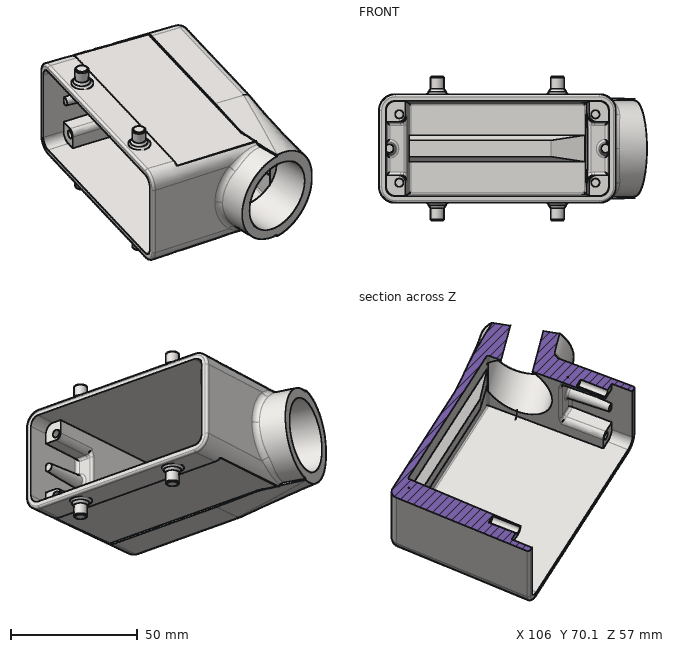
import cadquery as cq
import math

MOUTH_LENGTH = 93.7
MOUTH_WIDTH = 43.1
SHELL_HEIGHT = 62.8
DRAFT = 1.0
CORNER_RADIUS = 6.5
ROOF_FILLET = 3.6
RIM_FILLET = 1.0
WALL = 2.7
DRAFT_SLOPE = math.tan(math.radians(DRAFT))
MIDDLE_X = MOUTH_LENGTH / 2

OVERALL_LENGTH = 106.04
OVERALL_HEIGHT = 70.13
SPOUT_TILT = 15.0
SPOUT_RADIUS = 19.0
SPOUT_LENGTH = 25.0
SPOUT_BORE_RADIUS = 15.0
SPOUT_ROOT_FILLET = 2.5
ROOT_SHELL_HEIGHT = SHELL_HEIGHT + 25.0
TILT = math.radians(SPOUT_TILT)
SPOUT_END_X = OVERALL_LENGTH - SPOUT_RADIUS * math.sin(TILT)
SPOUT_END_Y = OVERALL_HEIGHT - SPOUT_RADIUS * math.cos(TILT)

SHOULDER_START_X = 59.5
SHOULDER_MID_FILLET = 9.8
SHOULDER_END_HALF_WIDTH = 19.6
SHOULDER_END_FILLET = 18.9

PANEL_BOTTOM_Y = 12.85
PANEL_TOP_Y = 46.4
PANEL_MARGIN = 3.45
PANEL_DEPTH = 0.85

CAVITY_DEPTH = 59.5
CAVITY_CORNER_RADIUS = 3.8
CAVITY_FLOOR_FILLET = 0.6
POST_TOP_Y = 9.0
SHELF_Y = 27.5
SHELF_FILLET = 1.2
POST_INNER_X = 10.2
FLOOR_INNER_X = 12.0
POST_GAP = 21.6
POST_EDGE_RADIUS = 2.5
POST_HOLE_RADIUS = 1.65
POST_HOLE_DEPTH = 12.0
POST_HOLE_X = 8.1
POST_HOLE_Z = 13.5

FINDER = 0.5

RIB_X = 4.1
RIB_TIP_RADIUS = 1.7
RIB_ROOT_RADIUS = 2.7
RIB_ROOT_FILLET = 1.0

RIDGE_BASE_WIDTH = 10.6
RIDGE_CREST_WIDTH = 6.4
RIDGE_RAMP_LENGTH = 13.8

PIN_SPAN = 57.0
PIN_RADIUS = 2.7
PIN_Y = 6.25
PIN_X = (23.1, 70.6)
PIN_CHAMFER = 0.5
PIN_FLANGE_RADIUS = 3.5
PIN_FLANGE_Z = 22.4
PIN_NECK_Z = 23.6
PIN_FOOT_FILLET = 1.1


def end_x(offset, side):
    """X at a distance from the mouth's left (side -1) or right (side +1) end."""
    return MIDDLE_X + side * (MIDDLE_X - offset)


def plane_at(y):
    """Plane parallel to the mouth at height y; its local X is X and its normal is +Y."""
    return cq.Plane(origin=(MIDDLE_X, y, 0), xDir=(1, 0, 0), normal=(0, 1, 0))


def tapered_block(length, width, height, corner_radius=0.0):
    """Drafted block growing from the mouth plane."""
    sketch = cq.Sketch().rect(length, width)
    if corner_radius:
        sketch = sketch.vertices().fillet(corner_radius)
    return cq.Workplane(plane_at(0)).placeSketch(sketch).extrude(height, taper=DRAFT)


def half_width(y):
    return MOUTH_WIDTH / 2 - y * DRAFT_SLOPE


def axis_x(y):
    """X where the spout axis reaches height y."""
    return SPOUT_END_X - (SPOUT_END_Y - y) / math.tan(TILT)


def above_spout_axis(start_x):
    """Everything beyond start_x that lies above the panel top and above the spout axis."""
    ceiling = 2 * OVERALL_HEIGHT
    outline = [
        (start_x, PANEL_TOP_Y),
        (axis_x(PANEL_TOP_Y), PANEL_TOP_Y),
        (SPOUT_END_X, SPOUT_END_Y),
        (OVERALL_LENGTH, ceiling),
        (start_x, ceiling),
    ]
    return cq.Workplane("XY").polyline(outline).close().extrude(MOUTH_WIDTH, both=True)


def make_shell(height):
    shell = tapered_block(MOUTH_LENGTH, MOUTH_WIDTH, height, CORNER_RADIUS)
    return shell.faces("<Y").edges().fillet(RIM_FILLET)


def make_roofed_shell():
    """Shell with its rounded roof, open where the shoulder goes."""
    shell = make_shell(SHELL_HEIGHT).faces(">Y").edges().fillet(ROOF_FILLET)
    return shell.cut(above_spout_axis(SHOULDER_START_X))


def make_spout_half():
    """Lower half of the spout with the shell below it, their junction rounded."""
    joined = make_shell(ROOT_SHELL_HEIGHT).union(spout_cylinder(SPOUT_RADIUS, SPOUT_LENGTH))
    root_edges = cq.selectors.BoxSelector(
        (MOUTH_LENGTH - CORNER_RADIUS - WALL, PANEL_BOTTOM_Y, -SPOUT_RADIUS - FINDER),
        (MOUTH_LENGTH, OVERALL_HEIGHT, SPOUT_RADIUS + FINDER),
        boundingbox=True,
    )
    return joined.edges(root_edges).fillet(SPOUT_ROOT_FILLET).cut(above_spout_axis(0))


def shoulder_section(x, y, tilt, top_half_width, fillet):
    """Round-topped cross-section hanging from the roof point (x, y), tilted by an angle."""
    plane = cq.Plane(
        origin=(x, y, 0),
        xDir=(0, 0, -1),
        normal=(math.cos(tilt), math.sin(tilt), 0),
    )
    flat = top_half_width - fillet
    diagonal = fillet * math.sqrt(0.5)
    bottom_half_width = top_half_width + (SPOUT_RADIUS - fillet) * DRAFT_SLOPE
    return (
        cq.Workplane(plane)
        .moveTo(-bottom_half_width, -SPOUT_RADIUS)
        .lineTo(-top_half_width, -fillet)
        .threePointArc((-flat - diagonal, diagonal - fillet), (-flat, 0))
        .lineTo(flat, 0)
        .threePointArc((flat + diagonal, diagonal - fillet), (top_half_width, -fillet))
        .lineTo(bottom_half_width, -SPOUT_RADIUS)
        .close()
        .wires()
        .val()
    )


def make_shoulder():
    end_top_x = SPOUT_END_X - SPOUT_RADIUS * math.sin(TILT)
    end_top_y = SPOUT_END_Y + SPOUT_RADIUS * math.cos(TILT)
    tangent_length = end_top_x - SHOULDER_START_X - (end_top_y - SHELL_HEIGHT) / math.tan(TILT)
    bend_radius = tangent_length / math.tan(TILT / 2)
    bend_x = SHOULDER_START_X + bend_radius * math.sin(TILT)
    bend_y = SHELL_HEIGHT + bend_radius * (1 - math.cos(TILT))
    start_width = half_width(SHELL_HEIGHT - ROOF_FILLET)
    middle_width = (start_width + SHOULDER_END_HALF_WIDTH) / 2
    sections = [
        shoulder_section(SHOULDER_START_X, SHELL_HEIGHT, 0, start_width, ROOF_FILLET),
        shoulder_section(bend_x, bend_y, TILT, middle_width, SHOULDER_MID_FILLET),
        shoulder_section(end_top_x, end_top_y, TILT, SHOULDER_END_HALF_WIDTH, SHOULDER_END_FILLET),
    ]
    return cq.Workplane(cq.Solid.makeLoft(sections))


def spout_cylinder(radius, length):
    """Cylinder on the spout axis, running inward from the spout's end face."""
    inward = cq.Vector(-math.cos(TILT), -math.sin(TILT), 0)
    return cq.Workplane(cq.Solid.makeCylinder(radius, length, cq.Vector(SPOUT_END_X, SPOUT_END_Y, 0), inward))


def panel_cutter(side):
    """Everything outside the drafted label panel on one long side."""
    rise = PANEL_TOP_Y * DRAFT_SLOPE
    low = PANEL_MARGIN + PANEL_BOTTOM_Y * DRAFT_SLOPE
    high = PANEL_MARGIN + rise
    slope_end_x = end_x(high, 1)
    slope_end_y = PANEL_TOP_Y + (slope_end_x - axis_x(PANEL_TOP_Y)) * math.tan(TILT)
    outline = [
        (low, PANEL_BOTTOM_Y),
        (end_x(low, 1), PANEL_BOTTOM_Y),
        (slope_end_x, slope_end_y),
        (axis_x(PANEL_TOP_Y), PANEL_TOP_Y),
        (high, PANEL_TOP_Y),
    ]
    blank = cq.Workplane("XY").polyline(outline).close().extrude(side * MOUTH_WIDTH)
    core = tapered_block(2 * MOUTH_LENGTH, MOUTH_WIDTH - 2 * PANEL_DEPTH, SHELL_HEIGHT)
    return blank.cut(core)


def post_edge_boxes():
    """Selector for the inner vertical edge of each of the four corner posts."""
    middle_y = SHELF_Y / 2
    inset = POST_INNER_X + middle_y * (FLOOR_INNER_X - POST_INNER_X) / CAVITY_DEPTH
    reach = POST_GAP / 2 - middle_y * DRAFT_SLOPE
    boxes = None
    for side in (-1, 1):
        for z in (-reach, reach):
            x = end_x(inset, side)
            box = cq.selectors.BoxSelector(
                (x - FINDER, middle_y - FINDER, z - FINDER),
                (x + FINDER, middle_y + FINDER, z + FINDER),
            )
            boxes = boxes + box if boxes else box
    return boxes


def make_cavity():
    length = MOUTH_LENGTH - 2 * WALL
    width = MOUTH_WIDTH - 2 * WALL
    mouth = tapered_block(length, width, POST_TOP_Y, CAVITY_CORNER_RADIUS)
    deep = (
        cq.Workplane(plane_at(0))
        .rect(MOUTH_LENGTH - 2 * POST_INNER_X, width)
        .workplane(offset=CAVITY_DEPTH)
        .rect(MOUTH_LENGTH - 2 * FLOOR_INNER_X, width - 2 * CAVITY_DEPTH * DRAFT_SLOPE)
        .loft(ruled=True)
    )
    deep = deep.faces(">Y").edges().fillet(CAVITY_FLOOR_FILLET)
    cavity = deep.union(tapered_block(length, POST_GAP, SHELF_Y))
    cavity = cavity.edges(post_edge_boxes()).fillet(POST_EDGE_RADIUS)
    shelf_edges = cq.selectors.BoxSelector(
        (0, SHELF_Y - FINDER, -POST_GAP),
        (MOUTH_LENGTH, SHELF_Y + FINDER, POST_GAP),
        boundingbox=True,
    )
    cavity = cavity.edges(shelf_edges).fillet(SHELF_FILLET)
    return cavity.union(mouth)


def make_bore():
    """Cable passage from the spout's end face to the end wall of the cavity."""
    bore = spout_cylinder(SPOUT_BORE_RADIUS, SPOUT_LENGTH)
    wall_x = end_x(FLOOR_INNER_X, 1)
    beyond_wall = (
        cq.Workplane("YZ", origin=(wall_x, 0, 0))
        .rect(2 * OVERALL_HEIGHT, MOUTH_WIDTH)
        .extrude(OVERALL_LENGTH - wall_x)
    )
    return bore.intersect(beyond_wall)


def make_ribs():
    """Tapered half-round ribs standing on the shelves against the end walls."""
    height = SHELF_Y - POST_TOP_Y
    foot = RIB_ROOT_RADIUS + RIB_ROOT_FILLET
    sag = RIB_ROOT_FILLET * (1 - math.sqrt(0.5))
    rib = (
        cq.Workplane("XY")
        .lineTo(RIB_TIP_RADIUS, 0)
        .lineTo(RIB_ROOT_RADIUS, height - RIB_ROOT_FILLET)
        .threePointArc((RIB_ROOT_RADIUS + sag, height - sag), (foot, height))
        .lineTo(0, height)
        .close()
        .revolve(360, (0, 0, 0), (0, 1, 0))
    )
    left = rib.translate((end_x(RIB_X, -1), POST_TOP_Y, 0))
    right = rib.translate((end_x(RIB_X, 1), POST_TOP_Y, 0))
    inside_shell = tapered_block(MOUTH_LENGTH - WALL, MOUTH_WIDTH - WALL, SHELF_Y)
    return left.union(right).intersect(inside_shell)


def make_ridge():
    """Trapezoidal ridge on the cavity floor that ramps down to it at the spout end."""
    start, stop = end_x(FLOOR_INNER_X, -1), end_x(FLOOR_INNER_X, 1)
    height = RIDGE_RAMP_LENGTH * math.tan(TILT)
    crest_y = CAVITY_DEPTH - height
    half_base, half_crest = RIDGE_BASE_WIDTH / 2, RIDGE_CREST_WIDTH / 2
    ridge = (
        cq.Workplane("YZ", origin=(start, 0, 0))
        .polyline(
            [(CAVITY_DEPTH, -half_base), (crest_y, -half_crest), (crest_y, half_crest), (CAVITY_DEPTH, half_base)]
        )
        .close()
        .extrude(stop - start)
    )
    ramp = (
        cq.Workplane("XY")
        .polyline([(stop - RIDGE_RAMP_LENGTH, crest_y), (stop, CAVITY_DEPTH), (stop, crest_y)])
        .close()
        .extrude(half_base, both=True)
    )
    return ridge.cut(ramp)


def make_post_holes():
    centres = [(side * (MIDDLE_X - POST_HOLE_X), z) for side in (-1, 1) for z in (-POST_HOLE_Z, POST_HOLE_Z)]
    return cq.Workplane(plane_at(POST_TOP_Y)).pushPoints(centres).circle(POST_HOLE_RADIUS).extrude(POST_HOLE_DEPTH)


def make_pin(x, side):
    """Turned pin with a flared foot, standing on one long side."""
    tip = PIN_SPAN / 2
    surface = half_width(PIN_Y)
    root = surface - WALL / 2
    foot = PIN_FLANGE_RADIUS + PIN_FOOT_FILLET
    sag = PIN_FOOT_FILLET * (1 - math.sqrt(0.5))
    pin = (
        cq.Workplane("XY")
        .moveTo(0, root)
        .lineTo(foot, root)
        .lineTo(foot, surface)
        .threePointArc((PIN_FLANGE_RADIUS + sag, surface + sag), (PIN_FLANGE_RADIUS, PIN_FLANGE_Z))
        .lineTo(PIN_RADIUS, PIN_NECK_Z)
        .lineTo(PIN_RADIUS, tip - PIN_CHAMFER)
        .lineTo(PIN_RADIUS - PIN_CHAMFER, tip)
        .lineTo(0, tip)
        .close()
        .revolve(360, (0, 0, 0), (0, 1, 0))
    )
    return pin.rotate((0, 0, 0), (1, 0, 0), side * 90).translate((x, PIN_Y, 0))


hood = make_roofed_shell().union(make_spout_half()).union(make_shoulder())
for side in (-1, 1):
    hood = hood.cut(panel_cutter(side))

hood = hood.cut(make_cavity())
hood = hood.cut(make_bore())
hood = hood.union(make_ribs()).union(make_ridge()).cut(make_post_holes())

for pin_x in PIN_X:
    for side in (-1, 1):
        hood = hood.union(make_pin(pin_x, side))

result = hood